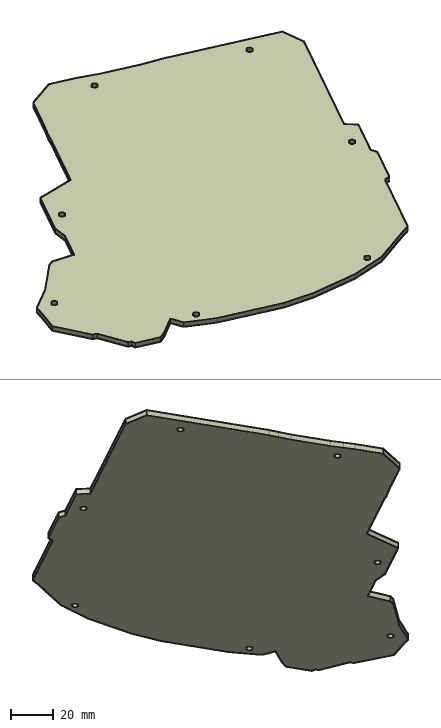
import cadquery as cq

width = 182.85
height = 186.47
thickness = 3.0
hole_diameter = 3.0

left_edge = 0.0
right_edge = 178.6
lower_left_edge = 43.0
lower_middle_edge = 25.5
lobe_root = 28.3
upper_left_edge = 177.6
upper_right_edge = 183.9
corner_run = 9.8

relief_depth = 0.7
relief_shoulder = left_edge + relief_depth / 2

kink_depth = 0.3

left_side = [
    (corner_run, lower_left_edge),
    (left_edge, 54.0),
    (left_edge, 67.9),
    (relief_shoulder, 73.4),
    (left_edge + relief_depth, 79.7),
    (left_edge + relief_depth, 99.1),
    (relief_shoulder, 105.4),
    (left_edge, 110.2),
    (left_edge, 170.0),
    (corner_run, upper_left_edge),
]

top_side = [
    (69.9, upper_left_edge),
    (72.3, upper_right_edge),
    (90.7, upper_right_edge),
    (93.2, height),
    (111.2, height),
    (112.3, upper_right_edge),
    (146.6, upper_right_edge),
    (149.4, 180.4),
]

right_side = [
    (162.8, 165.5),
    (170.2, 149.8),
    (176.5, 126.9),
    (right_edge, 111.6),
    (right_edge, 78.3),
    (176.5, 62.7),
]

lobe = [
    (172.0, 57.5),
    (180.0, 51.9),
    (width, 49.1),
    (width, 36.6),
    (181.3, 35.3),
    (181.3, 33.5),
    (171.1, 21.4),
    (171.1, 19.3),
    (159.5, 3.0),
    (148.7, 0.9),
    (145.2, 0.0),
    (134.8, 7.5),
    (118.9, 14.9),
    (117.0, 16.9),
    (115.7, lobe_root),
]

bottom_side = [
    (102.2, lobe_root),
    (95.9, lower_middle_edge),
    (73.4, lower_middle_edge),
    (66.1, lower_left_edge),
    (36.2, lower_left_edge),
    (33.4, lower_left_edge - kink_depth),
    (28.6, lower_left_edge),
]

hole_centers = [
    (82.7, 177.3),
    (161.2, 158.9),
    (7.1, 151.4),
    (7.7, 74.2),
    (173.0, 70.0),
    (87.6, 31.6),
    (144.6, 8.9),
]


def make_plate():
    """Extrude the closed outline to the plate thickness."""
    outline = left_side + top_side + right_side + lobe + bottom_side
    return cq.Workplane("XY").polyline(outline).close().extrude(thickness)


def make_holes():
    """Cylinders that pass through the plate at every mounting hole."""
    return cq.Workplane("XY").pushPoints(hole_centers).circle(hole_diameter / 2).extrude(thickness)


result = make_plate().cut(make_holes())